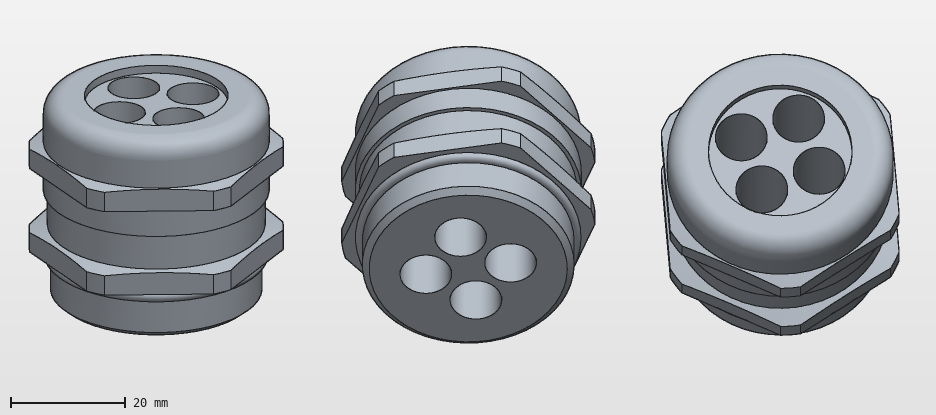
import cadquery as cq
import math

total_height = 38.0
hex_across_flats = 40.0
hex_corner_diameter = 44.3

thread_diameter = 36.9
thread_chamfer_height = 1.0
thread_chamfer_inset = 1.2

ring_diameter = 39.3
ring_bottom = 7.1
lower_hex_bottom = 9.0

body_diameter = 38.0
cap_diameter = 39.4
cap_bottom = 20.0
cap_edge_radius = 3.5
upper_hex_bottom = 25.0

hex_corner_height = 3.7
hex_cone_angle = 13.0

recess_diameter = 25.0
recess_depth = 1.5
cable_hole_diameter = 9.0
cable_hole_count = 4
cable_hole_circle_diameter = 15.0


def cylinder(diameter, bottom, top):
    return cq.Workplane("XY").workplane(offset=bottom).circle(diameter / 2).extrude(top - bottom)


def threaded_end():
    radius = thread_diameter / 2
    return (
        cq.Workplane("XZ")
        .lineTo(radius - thread_chamfer_inset, 0)
        .lineTo(radius, thread_chamfer_height)
        .lineTo(radius, lower_hex_bottom)
        .lineTo(0, lower_hex_bottom)
        .close()
        .revolve(360, (0, 0), (0, 1))
    )


def sealing_ring():
    """Disc with a fully rounded rim."""
    rim_radius = (lower_hex_bottom - ring_bottom) / 2
    straight_radius = ring_diameter / 2 - rim_radius
    return (
        cq.Workplane("XZ")
        .moveTo(0, ring_bottom)
        .lineTo(straight_radius, ring_bottom)
        .threePointArc((ring_diameter / 2, ring_bottom + rim_radius), (straight_radius, lower_hex_bottom))
        .lineTo(0, lower_hex_bottom)
        .close()
        .revolve(360, (0, 0), (0, 1))
    )


def hex_collar(bottom, neck_diameter):
    """Hexagon with turned corners and a top that rises conically to the neck."""
    corner_radius = hex_corner_diameter / 2
    neck_radius = neck_diameter / 2
    corner_top = bottom + hex_corner_height
    neck_top = corner_top + (corner_radius - neck_radius) * math.tan(math.radians(hex_cone_angle))
    turned_blank = (
        cq.Workplane("XZ")
        .moveTo(0, bottom)
        .lineTo(corner_radius, bottom)
        .lineTo(corner_radius, corner_top)
        .lineTo(neck_radius, neck_top)
        .lineTo(0, neck_top)
        .close()
        .revolve(360, (0, 0), (0, 1))
    )
    point_diameter = hex_across_flats / math.cos(math.pi / 6)
    hexagon = (
        cq.Workplane("XY")
        .workplane(offset=bottom)
        .polygon(6, point_diameter)
        .extrude(neck_top - bottom)
    )
    return turned_blank.intersect(hexagon)


def cap():
    return cylinder(cap_diameter, cap_bottom, total_height).faces(">Z").edges().fillet(cap_edge_radius)


def cable_holes():
    return (
        cq.Workplane("XY")
        .polarArray(cable_hole_circle_diameter / 2, 0, 360, cable_hole_count)
        .circle(cable_hole_diameter / 2)
        .extrude(total_height)
    )


result = (
    threaded_end()
    .union(sealing_ring())
    .union(cylinder(body_diameter, lower_hex_bottom, cap_bottom))
    .union(hex_collar(lower_hex_bottom, body_diameter))
    .union(cap())
    .union(hex_collar(upper_hex_bottom, cap_diameter))
    .cut(cylinder(recess_diameter, total_height - recess_depth, total_height))
    .cut(cable_holes())
)